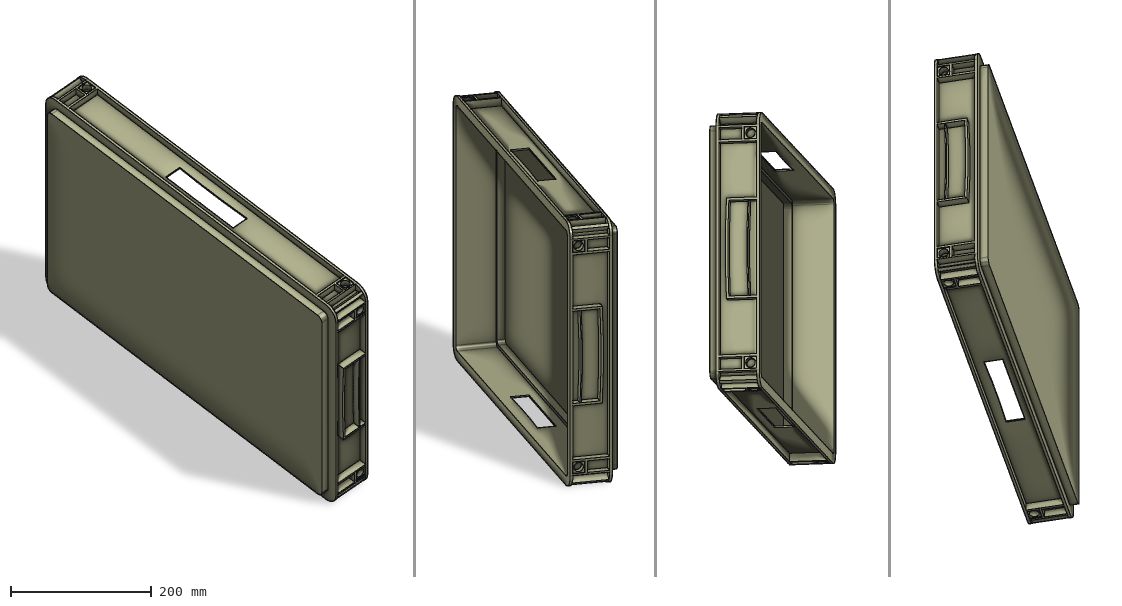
import cadquery as cq

length = 598.0
depth = 75.0
height = 398.0
corner_radius = 21.0

foot_height = 12.0
foot_inset = 16.0
foot_radius = 9.0

flange = 4.0
wall = 2.5
floor = 3.0

recess_depth = 12.0
panel_margin = 45.0
pocket_inner = 41.0
pocket_outer = 24.0
pocket_split = 3.5
socket_length = 18.0
socket_step = 2.0
socket_diameter = 14.0

rib_width = 5.1
rib_reach = 20.5

grip_length = 139.0
slot_top = 19.0
slot_bottom = -8.5
frame_width = 3.5
frame_top = 23.0
frame_bottom = -10.0
grip_bar = 2.0
grip_sag = 2.0
slot_sag = 1.0

rim_y = depth / 2
base_y = -depth / 2
body_y = base_y + foot_height
band_low = body_y + flange
band_high = rim_y - flange
band_width = band_high - band_low
band_middle = (band_high + band_low) / 2


def rounded_block(size_x, size_z, radius, y_from, y_to):
    """Block with rounded XZ corners between two Y levels."""
    middle = (y_from + y_to) / 2
    return (
        cq.Workplane("XY")
        .box(size_x, y_to - y_from, size_z)
        .edges("|Y")
        .fillet(radius)
        .translate((0, middle, 0))
    )


def side_box(x_from, x_to, y_from, y_to, recess):
    """Box reaching down from z = 0, the outer face of one side."""
    box = cq.Workplane("XY").box(x_to - x_from, y_to - y_from, recess, centered=False)
    return box.translate((x_from, y_from, -recess))


def side_recesses(side_length):
    """Panel recess and end pockets of one side, built below z = 0."""
    half = side_length / 2
    panel_half = half - panel_margin
    cutter = side_box(-panel_half, panel_half, band_low, band_high, recess_depth)
    socket_low = band_high - socket_length
    pocket_middle = half - (pocket_inner + pocket_outer) / 2
    for end in (-1, 1):
        near, far = sorted((end * (half - pocket_inner), end * (half - pocket_outer)))
        pocket = side_box(near, far, band_low, socket_low - pocket_split, recess_depth)
        step = side_box(near, far, socket_low, band_high, socket_step)
        bore = (
            cq.Workplane("XY", origin=(end * pocket_middle, band_high - socket_length / 2, 0))
            .circle(socket_diameter / 2)
            .extrude(-recess_depth)
        )
        cutter = cutter.union(pocket).union(step).union(bore)
    return cutter


def bowed_bar(half_length, y_low, y_high):
    """Bar across a grip whose two long edges bow toward the base."""
    return (
        cq.Workplane("XY")
        .moveTo(-half_length, y_high)
        .threePointArc((0, y_high - grip_sag), (half_length, y_high))
        .lineTo(half_length, y_low)
        .threePointArc((0, y_low - grip_sag), (-half_length, y_low))
        .close()
        .extrude(-recess_depth)
    )


def grip_frame():
    """Raised frame standing in the panel recess of a short side."""
    inner_half = grip_length / 2
    outer_half = inner_half + frame_width
    frame = bowed_bar(outer_half, frame_bottom, frame_bottom + frame_width)
    frame = frame.union(bowed_bar(inner_half, frame_top - grip_bar, frame_top))
    for end in (-1, 1):
        near, far = sorted((end * inner_half, end * outer_half))
        frame = frame.union(side_box(near, far, frame_bottom, band_high, recess_depth))
    return frame


def corner_notch():
    """Cutter for one corner, built around the centre of its rounding."""
    notch = cq.Workplane("XY").box(corner_radius, band_width, corner_radius, centered=(False, True, False))
    post = cq.Workplane("XZ").circle(corner_radius - recess_depth).extrude(band_width / 2, both=True)
    rib = cq.Workplane("XY").box(rib_reach, band_width, rib_width, centered=(False, True, True))
    rib = rib.rotate((0, 0, 0), (0, 1, 0), -45)
    return notch.cut(post).cut(rib).translate((0, band_middle, 0))


def on_long_side(shape, sign):
    """Place a side shape on the +Z or -Z side."""
    placed = shape.translate((0, 0, height / 2))
    return placed if sign > 0 else placed.mirror("XY")


def on_short_side(shape, sign):
    """Place a side shape on the +X or -X side."""
    placed = shape.rotate((0, 0, 0), (0, 1, 0), 90).translate((length / 2, 0, 0))
    return placed if sign > 0 else placed.mirror("YZ")


foot_length = length - 2 * foot_inset
foot_width = height - 2 * foot_inset
body = rounded_block(length, height, corner_radius, body_y, rim_y)
body = body.union(rounded_block(foot_length, foot_width, foot_radius, base_y, body_y))

long_recesses = side_recesses(length)
short_recesses = side_recesses(height).cut(grip_frame())
for sign in (-1, 1):
    body = body.cut(on_long_side(long_recesses, sign))
    body = body.cut(on_short_side(short_recesses, sign))

notch = corner_notch().translate((length / 2 - corner_radius, 0, height / 2 - corner_radius))
for cutter in (notch, notch.mirror("YZ")):
    body = body.cut(cutter).cut(cutter.mirror("XY"))

skin = recess_depth + wall
cavity_floor = body_y + floor
body = body.cut(
    rounded_block(length - 2 * skin, height - 2 * skin, corner_radius - skin, cavity_floor, rim_y)
)
foot_cavity_length = foot_length - 2 * floor
foot_cavity_width = foot_width - 2 * floor
body = body.cut(
    rounded_block(foot_cavity_length, foot_cavity_width, foot_radius - floor, base_y + floor, cavity_floor)
)

slot_half = grip_length / 2
slot = (
    cq.Workplane("XY")
    .moveTo(-slot_half, slot_bottom)
    .lineTo(-slot_half, slot_top)
    .threePointArc((0, slot_top - slot_sag), (slot_half, slot_top))
    .lineTo(slot_half, slot_bottom)
    .close()
    .extrude(height / 2, both=True)
)
result = body.cut(slot)